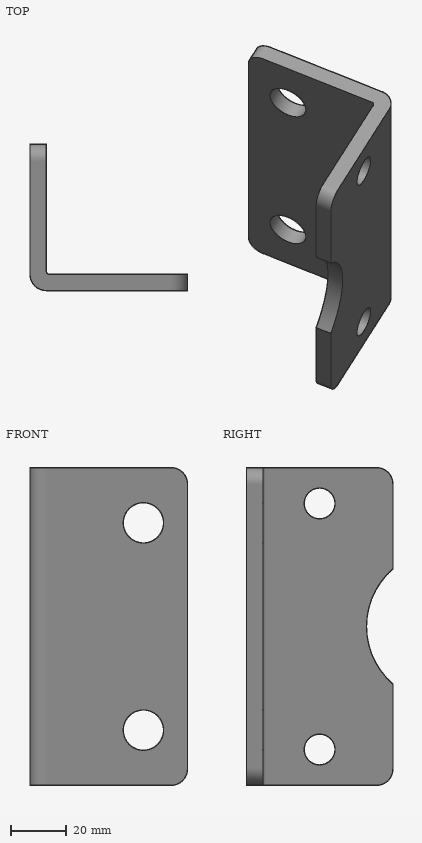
import cadquery as cq

width = 57.0
depth = 53.0
height = 115.0
thickness = 6.0

outer_bend_radius = thickness
inner_bend_radius = 1.0
corner_radius = 6.0

front_hole_diameter = 14.5
front_hole_x = 41.0
front_hole_spacing = 75.0
side_hole_diameter = 11.0
side_hole_y = 26.5
side_hole_spacing = 89.0

notch_radius = 27.5
notch_depth = 9.5
notch_center_y = depth - notch_depth + notch_radius

mid_height = height / 2


def angle_body():
    """L-shaped sheet with a rounded bend along Z and rounded free corners."""
    body = (
        cq.Workplane("XY")
        .polyline([
            (0, 0),
            (width, 0),
            (width, thickness),
            (thickness, thickness),
            (thickness, depth),
            (0, depth),
        ])
        .close()
        .extrude(height)
    )
    inner_corner = (thickness, thickness, mid_height)
    body = body.edges(cq.NearestToPointSelector((0, 0, mid_height))).fillet(outer_bend_radius)
    body = body.edges(cq.NearestToPointSelector(inner_corner)).fillet(inner_bend_radius)
    body = body.faces(">X").edges("|Y").fillet(corner_radius)
    return body.faces(">Y").edges("|X").fillet(corner_radius)


def front_cylinder(x, z, diameter):
    """Cylinder along Y that passes through the front flange."""
    return cq.Workplane("XZ").center(x, z).circle(diameter / 2).extrude(-thickness)


def side_cylinder(y, z, diameter):
    """Cylinder along X that passes through the side flange."""
    return cq.Workplane("YZ").center(y, z).circle(diameter / 2).extrude(thickness)


result = angle_body()
for side in (-1, 1):
    front_hole_z = mid_height + side * front_hole_spacing / 2
    side_hole_z = mid_height + side * side_hole_spacing / 2
    result = result.cut(front_cylinder(front_hole_x, front_hole_z, front_hole_diameter))
    result = result.cut(side_cylinder(side_hole_y, side_hole_z, side_hole_diameter))
result = result.cut(side_cylinder(notch_center_y, mid_height, 2 * notch_radius))